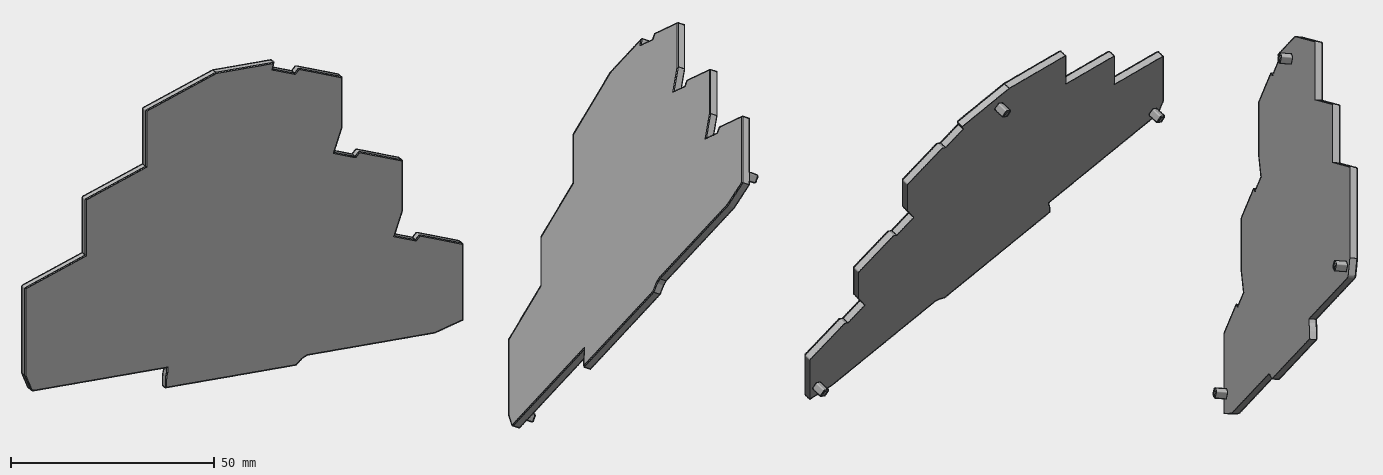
import cadquery as cq
import math

plate_thickness = 2.0
plate_length = 118.3
plate_height = 81.7
rim_chamfer = 0.2

pin_length = 3.1
pin_diagonal = 3.0
pin_corner_radius = 0.4
pin_tip_chamfer = 0.2
pin_centres = [(56.9, 8.6), (-4.0, 76.9), (-55.6, 8.6)]

tier_count = 3
tier_slope = math.tan(math.radians(20))
tier_run = 16.3
tier_corner_radius = 0.5
half_length = plate_length / 2

left_tier_rise = 25.0
left_roof_start = 24.7
tooth_crest_run = 11.7
tooth_root_run = 12.8
tooth_depth = 1.5
wall_foot_run = 18.5
undercut_height = 6.2
crown_left = 8.2
crown_step_foot = 7.8

right_tier_rise = 20.8
right_roof_start = 33.1
crown_right = -7.6

left_corner_height = 4.3
left_corner_run = 7.6
left_floor = 2.1
foot_ramp_start = 17.2
foot_ramp_bend = (15.9, 1.5)
foot_left = 14.1
foot_right_edge = [(-20.8, 4.3), (-21.1, 3.3), (-21.2, 2.0), (-21.2, 0)]
right_floor = 5.3
right_corner_height = 9.8
right_corner_run = 1.8
right_corner_radius = 1.1
right_corner_foot = (right_corner_run - half_length, right_floor)


def left_tier_points(tier):
    """Points of one +Y tier, from its outer corner inwards and upwards."""
    corner_y = half_length - tier * tier_run
    corner_z = left_roof_start + tier * left_tier_rise
    is_top = tier == tier_count - 1
    end_run = corner_y - crown_step_foot if is_top else wall_foot_run
    end_z = corner_z + end_run * tier_slope - tooth_depth
    points = [
        (corner_y, corner_z),
        (corner_y - tooth_crest_run, corner_z + tooth_crest_run * tier_slope),
        (corner_y - tooth_root_run, corner_z + tooth_root_run * tier_slope - tooth_depth),
        (corner_y - end_run, end_z),
    ]
    if not is_top:
        points.append((corner_y - tier_run, end_z + undercut_height))
    return points


def right_tier_points(tier):
    """Head and foot of the upright wall of one -Y tier, listed downwards."""
    wall_y = tier * tier_run - half_length
    roof_z = right_roof_start + tier * right_tier_rise
    if tier == 0:
        return [(wall_y, roof_z), (wall_y, right_corner_height)]
    lower_roof_z = roof_z - right_tier_rise
    return [(wall_y, roof_z), (wall_y, lower_roof_z + tier_run * tier_slope)]


def plate_outline():
    """Closed (Y, Z) outline: up the +Y tiers, down the -Y tiers, back underneath."""
    points = []
    for tier in range(tier_count):
        points += left_tier_points(tier)
    points += [(crown_left, plate_height), (crown_right, plate_height)]
    for tier in reversed(range(tier_count)):
        points += right_tier_points(tier)
    points += [
        right_corner_foot,
        (foot_right_edge[0][0], right_floor),
        *foot_right_edge,
        (foot_left, 0),
        foot_ramp_bend,
        (foot_ramp_start, left_floor),
        (half_length - left_corner_run, left_floor),
        (half_length, left_corner_height),
    ]
    return points


def round_corners(plate, corners, radius):
    """Round the plate edges that run along X through the given (Y, Z) corners."""
    for y, z in corners:
        middle = (plate_thickness / 2, y, z)
        plate = plate.edges(cq.selectors.NearestToPointSelector(middle)).fillet(radius)
    return plate


def make_plate():
    plate = cq.Workplane("YZ").polyline(plate_outline()).close().extrude(plate_thickness)
    corners = []
    for tier in range(tier_count):
        roof_corner, tooth_crest = left_tier_points(tier)[:2]
        corners += [roof_corner, tooth_crest, right_tier_points(tier)[0]]
    plate = round_corners(plate, corners, tier_corner_radius)
    plate = round_corners(plate, [right_corner_foot], right_corner_radius)
    return plate.faces(">X").chamfer(rim_chamfer)


def make_pins():
    """Square pins standing on their corners, rounded and chamfered at the tip."""
    pins = (
        cq.Workplane("YZ")
        .pushPoints(pin_centres)
        .polygon(4, pin_diagonal)
        .extrude(-pin_length)
    )
    pins = pins.edges("|X").fillet(pin_corner_radius)
    return pins.faces("<X").chamfer(pin_tip_chamfer)


result = make_plate().union(make_pins())